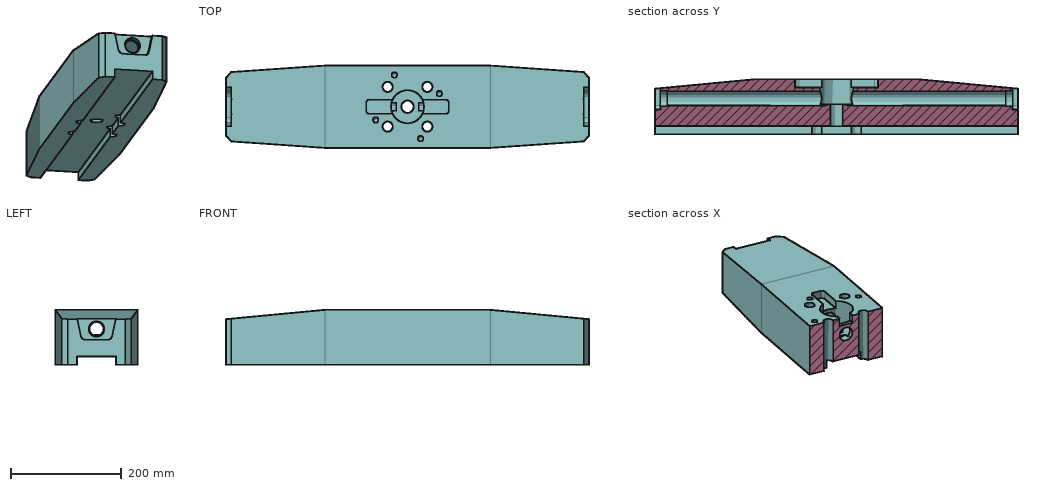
import math

import cadquery as cq

LENGTH = 660.0
WIDTH = 150.0
HEIGHT = 100.0
MID_LENGTH = 300.0
END_WIDTH = 125.0
END_HEIGHT = 83.0
END_CHAMFER = 10.0

CHANNEL_WIDTH = 70.0
CHANNEL_HEIGHT = 15.0

RECESS_DEPTH = 10.0
RECESS_MOUTH_WIDTH = 70.0
RECESS_FLOOR_Z = 45.0
RECESS_SIDE_ANGLE = 12.0
RECESS_RADIUS = 10.0

AXIAL_Z = 65.0
AXIAL_BORE_DIAMETER = 25.5
AXIAL_BORE_STOP = 20.0
AXIAL_COUNTERBORE_DIAMETER = 28.0
AXIAL_COUNTERBORE_DEPTH = 13.0

POCKET_DIAMETER = 60.0
POCKET_FLOOR_Z = 54.5
CENTRE_HOLE_DIAMETER = 22.0
SLOT_LENGTH = 150.0
SLOT_WIDTH = 26.0
SLOT_DEPTH = 15.0
SLOT_CORNER_RADIUS = 6.0

BOLT_CIRCLE_RADIUS = 51.0
BOLT_HOLE_DIAMETER = 18.0
BOLT_START_ANGLE = 45.0
DRILLED_CIRCLE_RADIUS = 62.5
DRILLED_HOLE_DIAMETER = 10.0
DRILLED_HOLE_DEPTH = 20.0
DRILLED_START_ANGLE = 22.5
DRILL_POINT_ANGLE = 118.0
HOLES_PER_CIRCLE = 4

HALF_LENGTH = LENGTH / 2
HALF_WIDTH = WIDTH / 2
HALF_MID = MID_LENGTH / 2
END_HALF_WIDTH = END_WIDTH / 2


def make_body():
    """Bar tapered at both ends: the side profile and the plan outline intersected."""
    profile = (
        cq.Workplane("XZ")
        .polyline([
            (-HALF_LENGTH, 0),
            (HALF_LENGTH, 0),
            (HALF_LENGTH, END_HEIGHT),
            (HALF_MID, HEIGHT),
            (-HALF_MID, HEIGHT),
            (-HALF_LENGTH, END_HEIGHT),
        ])
        .close()
        .extrude(HALF_WIDTH, both=True)
    )
    plan = (
        cq.Workplane("XY")
        .polyline([
            (-HALF_LENGTH, -END_HALF_WIDTH),
            (-HALF_MID, -HALF_WIDTH),
            (HALF_MID, -HALF_WIDTH),
            (HALF_LENGTH, -END_HALF_WIDTH),
            (HALF_LENGTH, END_HALF_WIDTH),
            (HALF_MID, HALF_WIDTH),
            (-HALF_MID, HALF_WIDTH),
            (-HALF_LENGTH, END_HALF_WIDTH),
        ])
        .close()
        .extrude(HEIGHT)
    )
    for end_face in ("<X", ">X"):
        plan = plan.faces(end_face).edges("|Z").chamfer(END_CHAMFER)
    return profile.intersect(plan)


def make_channel():
    return cq.Workplane("XY").box(LENGTH, CHANNEL_WIDTH, CHANNEL_HEIGHT, centered=(True, True, False))


def make_end_recess(start_x):
    """Trapezoidal cutter, open at the top, reaching RECESS_DEPTH along +X from start_x."""
    side_slope = math.tan(math.radians(RECESS_SIDE_ANGLE))
    floor_half = RECESS_MOUTH_WIDTH / 2 - (END_HEIGHT - RECESS_FLOOR_Z) * side_slope
    top_half = floor_half + (HEIGHT - RECESS_FLOOR_Z) * side_slope
    return (
        cq.Workplane("YZ", origin=(start_x, 0, 0))
        .polyline([
            (-floor_half, RECESS_FLOOR_Z),
            (floor_half, RECESS_FLOOR_Z),
            (top_half, HEIGHT),
            (-top_half, HEIGHT),
        ])
        .close()
        .extrude(RECESS_DEPTH)
        .edges("|X and <Z")
        .fillet(RECESS_RADIUS)
    )


def make_axial_cylinder(diameter, start_x, end_x):
    return (
        cq.Workplane("YZ", origin=(start_x, 0, AXIAL_Z))
        .circle(diameter / 2)
        .extrude(end_x - start_x)
    )


def make_axial_bores():
    """Counterbored bores from both end recesses, ending just inside the centre pocket."""
    counterbore_end = HALF_LENGTH - RECESS_DEPTH - AXIAL_COUNTERBORE_DEPTH
    bore = make_axial_cylinder(AXIAL_BORE_DIAMETER, AXIAL_BORE_STOP, HALF_LENGTH)
    counterbore = make_axial_cylinder(AXIAL_COUNTERBORE_DIAMETER, counterbore_end, HALF_LENGTH)
    right_side = bore.union(counterbore)
    return right_side.union(right_side.mirror("YZ"))


def make_centre_pocket():
    """Round pocket with a shallow crossing slot above and a through hole below."""
    pocket = (
        cq.Workplane("XY", origin=(0, 0, POCKET_FLOOR_Z))
        .circle(POCKET_DIAMETER / 2)
        .extrude(HEIGHT - POCKET_FLOOR_Z)
    )
    slot = (
        cq.Workplane("XY", origin=(0, 0, HEIGHT - SLOT_DEPTH))
        .rect(SLOT_LENGTH, SLOT_WIDTH)
        .extrude(SLOT_DEPTH)
        .edges("|Z")
        .fillet(SLOT_CORNER_RADIUS)
    )
    hole = cq.Workplane("XY").circle(CENTRE_HOLE_DIAMETER / 2).extrude(HEIGHT)
    return pocket.union(slot).union(hole)


def make_bolt_holes():
    return (
        cq.Workplane("XY")
        .polarArray(BOLT_CIRCLE_RADIUS, BOLT_START_ANGLE, 360, HOLES_PER_CIRCLE)
        .circle(BOLT_HOLE_DIAMETER / 2)
        .extrude(HEIGHT)
    )


def make_drilled_holes():
    """Blind holes with conical drill points."""
    radius = DRILLED_HOLE_DIAMETER / 2
    shoulder_z = HEIGHT - DRILLED_HOLE_DEPTH
    point_z = shoulder_z - radius / math.tan(math.radians(DRILL_POINT_ANGLE / 2))
    drill = (
        cq.Workplane("XZ")
        .polyline([(0, point_z), (radius, shoulder_z), (radius, HEIGHT), (0, HEIGHT)])
        .close()
        .revolve(360, (0, 0), (0, 1))
        .translate((DRILLED_CIRCLE_RADIUS, 0, 0))
    )
    holes = cq.Workplane("XY")
    for index in range(HOLES_PER_CIRCLE):
        angle = DRILLED_START_ANGLE + index * 360 / HOLES_PER_CIRCLE
        holes = holes.add(drill.rotate((0, 0, 0), (0, 0, 1), angle))
    return holes.combine()


result = make_body().cut(make_channel())
for recess_start in (-HALF_LENGTH, HALF_LENGTH - RECESS_DEPTH):
    result = result.cut(make_end_recess(recess_start))
result = result.cut(make_axial_bores())
result = result.cut(make_centre_pocket())
result = result.cut(make_bolt_holes())
result = result.cut(make_drilled_holes())